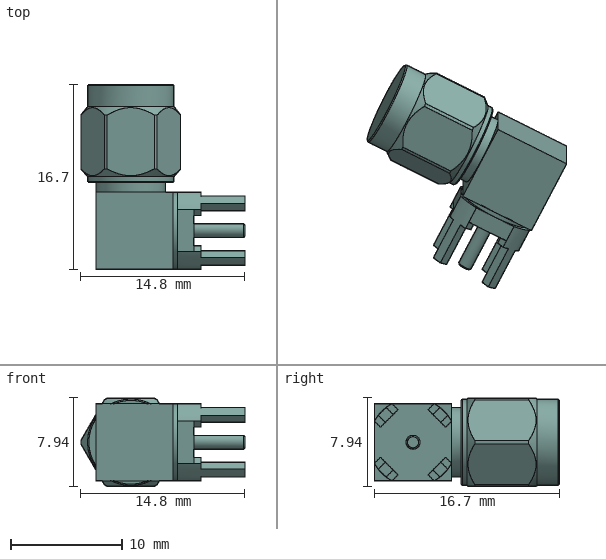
import cadquery as cq
import math


block_size = 6.95
block_half = block_size / 2

neck_radius = 3.14
block_left = -neck_radius
block_right = block_left + block_size

overall_length = 16.65
nut_front = overall_length - block_half
nut_length = 8.86
nut_back = nut_front - nut_length
collar_radius = 3.89
collar_chamfer = 0.12
hex_sides = 6
hex_across_flats = 7.94
hex_corner_radius = 4.5
front_collar_length = 2.0
back_collar_length = 0.54
hex_front = nut_front - front_collar_length
hex_back = nut_back + back_collar_length
hex_front_bevel = 0.77
hex_back_bevel = 0.70

flange_length = 0.39
base_length = 1.49
post_length = 2.14
leg_length = 6.09
base_left = block_right + flange_length
mount_radius = 3.96
post_inner_distance = 3.03
post_width = 2.23
leg_width = 1.0
mount_angles = (45, 135, 225, 315)

pin_radius = 0.63
pin_chamfer = 0.13


def cylinder_along_x(start, length, radius):
    return cq.Workplane("YZ").workplane(offset=start).circle(radius).extrude(length)


def make_block():
    return cq.Workplane("XY").box(block_size, block_size, block_size).translate(
        ((block_left + block_right) / 2, 0, 0)
    )


def make_neck():
    return cq.Workplane("XZ").circle(neck_radius).extrude(-nut_back)


def make_nut():
    """Hexagon with flats on +Z and -Z, turned to a profile with bevels and end collars."""
    hex_diameter = hex_across_flats / math.cos(math.pi / hex_sides)
    hexagon = (
        cq.Workplane("XZ")
        .workplane(offset=-nut_back)
        .polygon(hex_sides, hex_diameter)
        .extrude(-nut_length)
    )
    turned_profile = (
        cq.Workplane("XY")
        .moveTo(0, nut_back)
        .lineTo(collar_radius - collar_chamfer, nut_back)
        .lineTo(collar_radius, nut_back + collar_chamfer)
        .lineTo(collar_radius, hex_back)
        .lineTo(hex_corner_radius, hex_back + hex_back_bevel)
        .lineTo(hex_corner_radius, hex_front - hex_front_bevel)
        .lineTo(collar_radius, hex_front)
        .lineTo(collar_radius, nut_front - collar_chamfer)
        .lineTo(collar_radius - collar_chamfer, nut_front)
        .lineTo(0, nut_front)
        .close()
    )
    turned_body = turned_profile.revolve(360, (0, 0, 0), (0, 1, 0))
    return turned_body.intersect(hexagon)


def make_base():
    """Round flange followed by a square base with rounded corners."""
    flange = cylinder_along_x(block_right, flange_length, block_half)
    square = (
        cq.Workplane("YZ")
        .workplane(offset=base_left)
        .rect(block_size, block_size)
        .extrude(base_length)
    )
    rounding = cylinder_along_x(base_left, base_length, mount_radius)
    return flange.union(square.intersect(rounding))


def make_corner_bar(width, length, angle):
    """Bar along X with a flat inner face and an outer face on the mounting radius."""
    depth = mount_radius - post_inner_distance
    bar = (
        cq.Workplane("YZ")
        .workplane(offset=base_left)
        .center(post_inner_distance + depth / 2, 0)
        .rect(depth, width)
        .extrude(length)
    )
    rounding = cylinder_along_x(base_left, length, mount_radius)
    return bar.intersect(rounding).rotate((0, 0, 0), (1, 0, 0), angle)


def make_contact_pin():
    pin = cylinder_along_x(base_left, leg_length, pin_radius)
    return pin.faces(">X").chamfer(pin_chamfer)


result = make_block().union(make_neck()).union(make_nut()).union(make_base())
for mount_angle in mount_angles:
    result = result.union(make_corner_bar(post_width, post_length, mount_angle))
    result = result.union(make_corner_bar(leg_width, leg_length, mount_angle))
result = result.union(make_contact_pin())